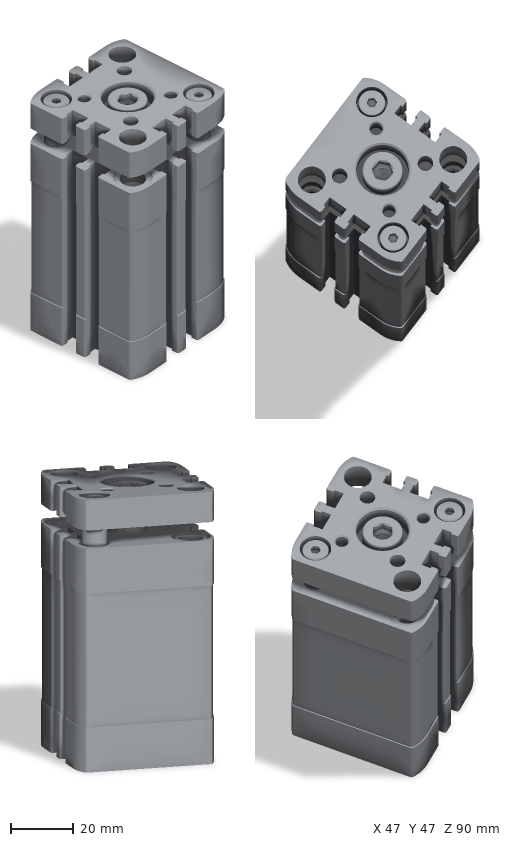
import cadquery as cq
import math

total_height = 90.0
plate_thickness = 10.0
plate_gap = 6.0
cap_height = 14.9
plate_bottom = total_height - plate_thickness
housing_height = plate_bottom - plate_gap

half_side = 23.5
barrel_inset = 0.4
corner_start = 16.4
corner_radius = 12.15
corner_blend = 1.1

slot_floor = 17.55
lip_inner = 20.9
mouth_near = 2.2
mouth_far = 7.5
pocket_near = 1.4
pocket_far = 8.2
mouth_bevel = 0.45
slot_face_angles = (0, 90, 180)

corner_offset = 16.3
guide_points = [(corner_offset, corner_offset), (-corner_offset, -corner_offset)]
mount_points = [(-corner_offset, corner_offset), (corner_offset, -corner_offset)]

access_diameter = 9.0
mount_diameter = 4.95
mount_rim_diameter = 6.1
seat_diameter = 8.5
seat_depth = 4.7
seat_step_diameter = 12.8
seat_step_depth = 0.45

small_hole_offset = 9.9
small_hole_diameter = 5.0
thread_diameter = 4.1
small_hole_depth = 6.0

guide_diameter = 8.0
guide_step_diameter = 10.0
guide_step_depth = 0.3
guide_recess_diameter = 10.2
guide_head_diameter = 8.55
guide_head_round = 0.4
guide_head_drop = 0.7
guide_socket_width = 3.0
guide_socket_depth = 2.0
guide_socket_angle = 15

rod_diameter = 12.8
rod_flat_width = 10.6
rod_flat_end = 75.5
rod_runout_height = 0.7
rod_recess_diameter = 17.0
rod_recess_mouth = 18.2
rod_head_diameter = 13.0
rod_head_round = 0.6
rod_head_drop = 1.0
rod_socket_width = 6.0
rod_socket_depth = 3.0
rod_socket_mouth = 7.2
rod_socket_angle = 55
pilot_diameter = 4.0
pilot_length = 0.45
drill_tip_angle = 120

recess_depth = 6.0
rod_seat_depth = cap_height


def cylinder(diameter, bottom, top, points=((0, 0),)):
    """Upright cylinders between two heights."""
    return (cq.Workplane("XY").workplane(offset=bottom).pushPoints(points)
            .circle(diameter / 2).extrude(top - bottom))


def cone(bottom_diameter, top_diameter, bottom, top, points=((0, 0),)):
    """Upright truncated cones between two heights."""
    solid = cq.Solid.makeCone(bottom_diameter / 2, top_diameter / 2, top - bottom)
    return cq.Workplane("XY").pushPoints(points).eachpoint(
        lambda place: solid.moved(place).moved(cq.Location((0, 0, bottom))))


def mouth_chamfer(hole_diameter, mouth_diameter, top, points=((0, 0),)):
    """45 degree countersink that widens a hole to the mouth diameter at its top."""
    return cone(hole_diameter, mouth_diameter, top - (mouth_diameter - hole_diameter) / 2, top, points)


def hexagon(width_across_flats, angle, bottom, top, points=((0, 0),)):
    """Upright hexagonal prisms with a corner turned to the given angle."""
    corner_diameter = width_across_flats / math.cos(math.pi / 6)
    prism = (cq.Workplane("XY").polygon(6, corner_diameter).extrude(top - bottom)
             .rotate((0, 0, 0), (0, 0, 1), angle).val())
    return cq.Workplane("XY").pushPoints(points).eachpoint(
        lambda place: prism.moved(place).moved(cq.Location((0, 0, bottom))))


def slot_pair(face, bottom, top):
    """The two T-slots of the +X face, mirrored about the rib between them."""
    outline = [
        (slot_floor, pocket_near), (lip_inner, pocket_near), (lip_inner, mouth_near),
        (face - mouth_bevel, mouth_near), (face, mouth_near - mouth_bevel),
        (face, mouth_far + mouth_bevel), (face - mouth_bevel, mouth_far),
        (lip_inner, mouth_far), (lip_inner, pocket_far), (slot_floor, pocket_far),
    ]
    slot = cq.Workplane("XY").workplane(offset=bottom).polyline(outline).close().extrude(top - bottom)
    return slot.union(slot.mirror("XZ"))


def profile_block(inset, bottom, top):
    """Slotted block of the shared cross-section, set back by the inset."""
    face = half_side - inset
    radius = corner_radius - inset
    arc_center = face - radius
    end_angle = math.asin((face - corner_start) / radius)
    arc_end = arc_center + radius * math.cos(end_angle)
    arc_mid = (arc_center + radius * math.cos(end_angle / 2),
               corner_start + radius * math.sin(end_angle / 2))
    block = (
        cq.Workplane("XY").workplane(offset=bottom)
        .moveTo(face, -corner_start)
        .lineTo(face, corner_start)
        .threePointArc(arc_mid, (arc_end, face))
        .lineTo(-arc_end, face)
        .threePointArc((-arc_mid[0], arc_mid[1]), (-face, corner_start))
        .lineTo(-face, -corner_start)
        .threePointArc((-arc_mid[0], -arc_mid[1]), (-arc_end, -face))
        .lineTo(arc_end, -face)
        .threePointArc((arc_mid[0], -arc_mid[1]), (face, -corner_start))
        .close().extrude(top - bottom)
        .edges("|Z and (>Y or <Y)").fillet(corner_blend)
    )
    for angle in slot_face_angles:
        block = block.cut(slot_pair(face, bottom, top).rotate((0, 0, 0), (0, 0, -1), angle))
    return block


def make_housing():
    """Barrel between two end caps, with rod seats and through mounting holes."""
    barrel_top = housing_height - cap_height
    housing = (
        profile_block(0, 0, cap_height)
        .union(profile_block(barrel_inset, cap_height, barrel_top))
        .union(profile_block(0, barrel_top, housing_height))
    )
    seat_floor = housing_height - seat_depth
    rod_seat_floor = housing_height - rod_seat_depth
    return (
        housing
        .cut(cylinder(mount_diameter, 0, housing_height, mount_points))
        .cut(mouth_chamfer(mount_diameter, mount_rim_diameter, seat_floor, mount_points))
        .cut(cylinder(seat_diameter, seat_floor, housing_height, mount_points))
        .cut(cylinder(seat_step_diameter, housing_height - seat_step_depth, housing_height, mount_points))
        .cut(cylinder(guide_diameter, rod_seat_floor, housing_height, guide_points))
        .cut(cylinder(guide_step_diameter, housing_height - guide_step_depth, housing_height, guide_points))
        .cut(cylinder(rod_diameter, rod_seat_floor, housing_height))
    )


def make_plate():
    """Yoke plate with access holes, threaded holes, dowel holes and screw recesses."""
    recess_floor = total_height - recess_depth
    threaded_points = [(small_hole_offset, small_hole_offset), (-small_hole_offset, -small_hole_offset)]
    dowel_points = [(-small_hole_offset, small_hole_offset), (small_hole_offset, -small_hole_offset)]
    small_hole_floor = total_height - small_hole_depth
    return (
        profile_block(0, plate_bottom, total_height)
        .cut(cylinder(access_diameter, plate_bottom, total_height, mount_points))
        .cut(cylinder(small_hole_diameter, small_hole_floor, total_height, dowel_points))
        .cut(cylinder(thread_diameter, small_hole_floor, total_height, threaded_points))
        .cut(mouth_chamfer(thread_diameter, small_hole_diameter, total_height, threaded_points))
        .cut(cylinder(guide_recess_diameter, recess_floor, total_height, guide_points))
        .cut(cylinder(rod_recess_diameter, recess_floor, total_height))
        .cut(mouth_chamfer(rod_recess_diameter, rod_recess_mouth, total_height))
    )


def make_guide_rods():
    """Two guide rods below the plate, and their socket screw heads inside the plate recesses."""
    head_top = total_height - guide_head_drop
    heads = (cylinder(guide_head_diameter, total_height - recess_depth, head_top, guide_points)
             .faces(">Z").edges().fillet(guide_head_round))
    sockets = hexagon(guide_socket_width, guide_socket_angle, head_top - guide_socket_depth, head_top, guide_points)
    rods = cylinder(guide_diameter, housing_height - rod_seat_depth, plate_bottom, guide_points)
    return rods, heads.cut(sockets)


def make_flat_cutter():
    """Removes one wrench flat on the +Y side of the piston rod, with a sloped run-out."""
    flat = rod_flat_width / 2
    rod_radius = rod_diameter / 2
    outline = [
        (flat, plate_bottom), (flat, rod_flat_end),
        (rod_radius, rod_flat_end - rod_runout_height), (rod_radius, plate_bottom),
    ]
    return cq.Workplane("YZ").polyline(outline).close().extrude(rod_radius, both=True)


def make_piston_rod():
    """Piston rod with two wrench flats, and its screw head inside the plate recess.

    The hexagon socket has a conical floor that leads into a short pilot hole with a drill tip.
    """
    flat_cutter = make_flat_cutter()
    rod = (cylinder(rod_diameter, housing_height - rod_seat_depth, plate_bottom)
           .cut(flat_cutter).cut(flat_cutter.mirror("XZ")))
    head_top = total_height - rod_head_drop
    socket_floor = head_top - rod_socket_depth
    tip_slope = math.tan(math.radians(drill_tip_angle / 2))
    pilot_top = socket_floor - (rod_socket_width - pilot_diameter) / 2 / tip_slope
    pilot_bottom = pilot_top - pilot_length
    tip_bottom = pilot_bottom - pilot_diameter / 2 / tip_slope
    head = (
        cylinder(rod_head_diameter, total_height - recess_depth, head_top)
        .faces(">Z").edges().fillet(rod_head_round)
        .cut(hexagon(rod_socket_width, rod_socket_angle, socket_floor, head_top))
        .cut(mouth_chamfer(rod_socket_width, rod_socket_mouth, head_top))
        .cut(cone(pilot_diameter, rod_socket_width, pilot_top, socket_floor))
        .cut(cylinder(pilot_diameter, pilot_bottom, pilot_top))
        .cut(cone(0, pilot_diameter, tip_bottom, pilot_bottom))
    )
    return rod, head


def make_slide():
    """Moving body: plate, guide rods and piston rod joined as one solid."""
    slide = make_plate()
    for part in (*make_guide_rods(), *make_piston_rod()):
        slide = slide.union(part)
    return slide


housing = make_housing()
slide = make_slide()
result = cq.Compound.makeCompound([housing.solids().val(), slide.solids().val()])